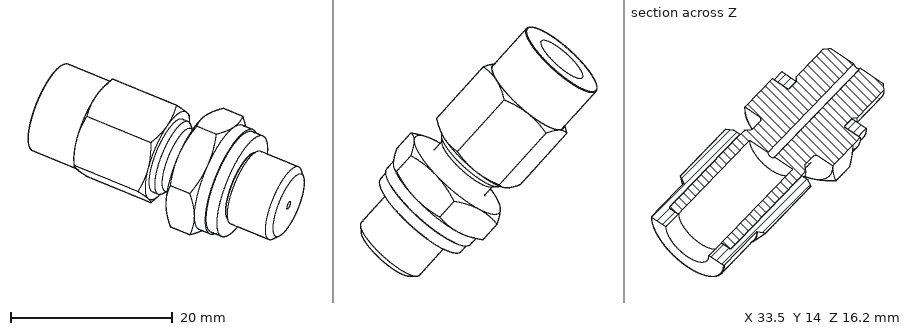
import cadquery as cq
import math

LENGTH = 33.5
SLEEVE_END = 6.5
NUT_END = 16.5
HEX_START = 20.0
HEX_END = 24.0
FLANGE_END = 25.5
SEAL_END = 27.0

SLEEVE_DIAMETER = 11.62
SLEEVE_CHAMFER = 0.1
NUT_ACROSS_FLATS = 11.75
BORE_DIAMETER = 6.8

STUB_START = 2.5
PASSAGE_DIAMETER = 1.0
THREAD_DIAMETER = 9.75
COLLAR_LENGTH = 1.47
COLLAR_CHAMFER = 0.67
NECK_DIAMETER = 8.4
NECK_FILLET = 0.47
FITTING_ACROSS_FLATS = 14.0
SEAL_DIAMETER = 13.47
THREAD_START_CHAMFER = 0.4
THREAD_RELIEF = 0.07
THREAD_END_CHAMFER = 0.7

HEX_CHAMFER_ANGLE = 30.0


def cylinder(start, end, diameter):
    """Cylinder about the X axis from start to end."""
    return cq.Workplane("YZ").workplane(offset=start).circle(diameter / 2).extrude(end - start)


def chamfered_hex(start, end, across_flats, turn):
    """Hexagonal bar about X whose corners are cut by a cone at each end.

    With no turn two corners lie on the Y axis.
    """
    flat_radius = across_flats / 2
    corner_radius = flat_radius / math.cos(math.pi / 6)
    chamfer = (corner_radius - flat_radius) * math.tan(math.radians(HEX_CHAMFER_ANGLE))
    bar = (
        cq.Workplane("YZ")
        .workplane(offset=start)
        .polygon(6, 2 * corner_radius)
        .extrude(end - start)
        .rotate((0, 0, 0), (1, 0, 0), turn)
    )
    envelope = (
        cq.Workplane("XY")
        .moveTo(start, 0)
        .lineTo(start, flat_radius)
        .lineTo(start + chamfer, corner_radius)
        .lineTo(end - chamfer, corner_radius)
        .lineTo(end, flat_radius)
        .lineTo(end, 0)
        .close()
        .revolve(360, (0, 0, 0), (1, 0, 0))
    )
    return bar.intersect(envelope)


def make_nut():
    """Hexagonal nut with a round sleeve, a bore and a recess for the fitting's stub."""
    sleeve = cylinder(0, SLEEVE_END, SLEEVE_DIAMETER).faces("<X").chamfer(SLEEVE_CHAMFER)
    nut = sleeve.union(chamfered_hex(SLEEVE_END, NUT_END, NUT_ACROSS_FLATS, 0))
    nut = nut.cut(cylinder(0, STUB_START, BORE_DIAMETER))
    return nut.cut(cylinder(STUB_START, NUT_END, THREAD_DIAMETER))


def make_turned_core():
    """Stub with its exposed collar, neck, seal seat and threaded end, turned as one profile."""
    thread_radius = THREAD_DIAMETER / 2
    neck_radius = NECK_DIAMETER / 2
    thread_start = SEAL_END + THREAD_RELIEF
    neck_start = NUT_END + COLLAR_LENGTH
    fillet_middle = NECK_FILLET * (1 - math.sqrt(0.5))
    return (
        cq.Workplane("XY")
        .moveTo(STUB_START, 0)
        .lineTo(STUB_START, thread_radius)
        .lineTo(neck_start - COLLAR_CHAMFER, thread_radius)
        .lineTo(neck_start, neck_radius)
        .lineTo(HEX_START - NECK_FILLET, neck_radius)
        .threePointArc(
            (HEX_START - fillet_middle, neck_radius + fillet_middle),
            (HEX_START, neck_radius + NECK_FILLET),
        )
        .lineTo(HEX_START, FITTING_ACROSS_FLATS / 2 - NECK_FILLET)
        .lineTo(FLANGE_END, FITTING_ACROSS_FLATS / 2 - NECK_FILLET)
        .lineTo(FLANGE_END, thread_radius - THREAD_START_CHAMFER)
        .lineTo(thread_start, thread_radius - THREAD_START_CHAMFER)
        .lineTo(thread_start + THREAD_START_CHAMFER, thread_radius)
        .lineTo(LENGTH - THREAD_END_CHAMFER, thread_radius)
        .lineTo(LENGTH, thread_radius - THREAD_END_CHAMFER)
        .lineTo(LENGTH, 0)
        .close()
        .revolve(360, (0, 0, 0), (1, 0, 0))
    )


def make_fitting():
    """Threaded fitting with a hexagon, a round flange and a stub bored to the nut's inner diameter."""
    hexagon = chamfered_hex(HEX_START, HEX_END, FITTING_ACROSS_FLATS, 30)
    flange = cylinder(HEX_END, FLANGE_END, FITTING_ACROSS_FLATS)
    fitting = make_turned_core().union(hexagon).union(flange)
    fitting = fitting.cut(cylinder(STUB_START, NUT_END, BORE_DIAMETER))
    return fitting.cut(cylinder(NUT_END, LENGTH, PASSAGE_DIAMETER))


def make_seal_ring():
    """Flat ring between the flange and the thread."""
    seat_diameter = THREAD_DIAMETER - 2 * THREAD_START_CHAMFER
    return cylinder(FLANGE_END, SEAL_END, SEAL_DIAMETER).cut(
        cylinder(FLANGE_END, SEAL_END, seat_diameter)
    )


nut = make_nut()
fitting = make_fitting()
seal_ring = make_seal_ring()

result = cq.Compound.makeCompound([nut.val(), fitting.val(), seal_ring.val()])